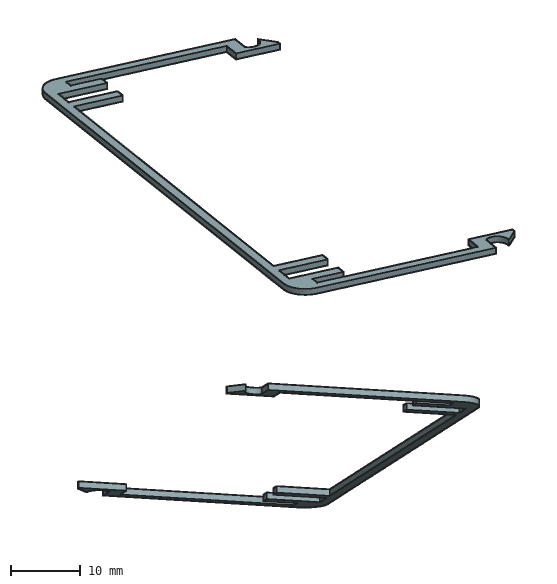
import cadquery as cq
import math

width = 80.0
height = 37.5
thickness = 1.0

wall = 1.5
corner_radius = 3.5

rib_width = 1.7
outer_rib_offset = 3.0
inner_rib_offset = 7.8
rib_top = 9.4
slot_floor = 4.4

ledge_bottom = 30.4
ledge_top = 32.6
hook_inner_face = 4.4
hook_tip_offset = 1.5
hook_crest_width = 0.6
notch_radius = 1.7
notch_center_offset = 1.8
notch_center_height = 33.8

hook_tip_height = notch_center_height + notch_radius
notch_half_chord = math.sqrt(notch_radius**2 - (notch_center_height - ledge_top) ** 2)
notch_start = notch_center_offset + notch_half_chord
half_width = width / 2
outer_rib_inner_face = outer_rib_offset + rib_width
inner_rib_inner_face = inner_rib_offset + rib_width
corner_mid = corner_radius * (1 - math.sqrt(0.5))


def left_half():
    """Extruded left half, with its outer side face on X = 0 and its base on Y = 0."""
    return (
        cq.Workplane("XY")
        .moveTo(half_width, 0)
        .lineTo(corner_radius, 0)
        .threePointArc((corner_mid, corner_mid), (0, corner_radius))
        .lineTo(0, ledge_top)
        .lineTo(notch_start, ledge_top)
        .threePointArc(
            (notch_center_offset + notch_radius, notch_center_height),
            (notch_center_offset, hook_tip_height),
        )
        .lineTo(hook_tip_offset, hook_tip_height)
        .lineTo(hook_inner_face - hook_crest_width, height)
        .lineTo(hook_inner_face, height)
        .lineTo(hook_inner_face, ledge_bottom)
        .lineTo(wall, ledge_bottom)
        .lineTo(wall, slot_floor)
        .lineTo(outer_rib_offset, slot_floor)
        .lineTo(outer_rib_offset, rib_top)
        .lineTo(outer_rib_inner_face, rib_top)
        .lineTo(outer_rib_inner_face, wall)
        .lineTo(inner_rib_offset, wall)
        .lineTo(inner_rib_offset, rib_top)
        .lineTo(inner_rib_inner_face, rib_top)
        .lineTo(inner_rib_inner_face, wall)
        .lineTo(half_width, wall)
        .close()
        .extrude(thickness)
    )


left = left_half().translate((-half_width, 0, 0))
result = left.union(left.mirror("YZ")).clean()